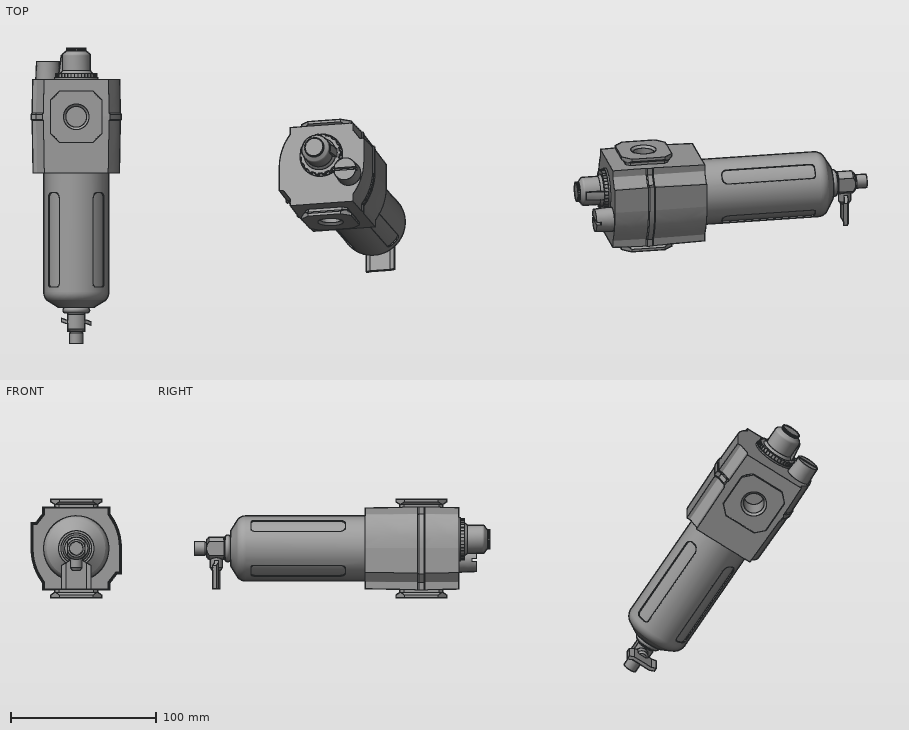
import cadquery as cq
import math


HOUSING_FRONT = 38.7
HOUSING_BACK = 25.8
DRAFT = 1.0
HALF_WIDTH = 30.5
HALF_HEIGHT = 28.55
TOP_HALF_WIDTH = 22.65
CORNER_Z = 23.4
SHOULDER_X = 27.5
SHOULDER_Z = 17.1
BAND_HEIGHT = 0.65
BAND_HALF_FLAT = 1.7
BAND_HALF_BASE = 2.5

FLANGE_TOP = 34.0
FLANGE_SIDE = 35.2
FLANGE_CORNER = 6.0
FLANGE_EDGE = 1.9
FLANGE_THICKNESS = 3.7
FLANGE_UNDERCUT = 2.7
NECK_CORNER = 2.9
PORT_RADIUS = 7.15
PORT_MOUTH_RADIUS = 8.8
PORT_CHAMFER = PORT_MOUTH_RADIUS - PORT_RADIUS
PORT_DEPTH = 20.0

BOWL_RADIUS = 22.5
BOWL_STRAIGHT_END = -120.9
BOWL_CONE_START = -126.3
BOWL_CONE_RADIUS = 20.2
BOWL_END = -131.3
BOWL_END_RADIUS = 12.2
BOWL_RECESS_RADIUS = 10.6
BOWL_RECESS_DEPTH = 1.0
WINDOW_COUNT = 4
WINDOW_BACK = -52.1
WINDOW_FRONT = -117.3
WINDOW_WIDTH = 10.7
WINDOW_DEPTH = 1.0
WINDOW_BACK_CORNER = 4.0
WINDOW_FRONT_CORNER = 2.5

COLLAR_RADIUS = 9.3
COLLAR_SIDE_RADIUS = 8.0
COLLAR_END = -135.1
COCK_RADIUS = 7.7
COCK_END = -147.8
COCK_CHAMFER = 1.6
FLAT_HALF_WIDTH = 6.0
WAIST_RADIUS = FLAT_HALF_WIDTH
WAIST_END = -136.0
STEM_RADIUS = 4.75
STEM_END = -156.2
GROOVE_RADIUS = 4.2
GROOVE_WIDTH = 1.1
SPINDLE_Y = -141.1
SPINDLE_RADIUS = 4.3
SPINDLE_END = -15.1
SPINDLE_CHAMFER = 1.3
SPINDLE_CHAMFER_HEIGHT = 2.0
WING_THICKNESS = 2.6
WING_HALF_SPAN = 10.3
WING_BEND_X = 7.0
WING_BEND = 1.3
WING_BOTTOM = -27.9
WING_SHOULDER = -11.8
WING_TOP = -8.2

CAP_Z = 6.3
CAP_BASE_RADIUS = 15.0
CAP_BASE_TOP = 27.0
RING_RADIUS = 14.4
RING_TOP = 29.8
RING_SLOTS = 18
RING_SLOT_ANGLE = 10.0
RING_SLOT_DEPTH = 0.8
DOME_RADIUS = 9.8
DOME_FLARE_RADIUS = 11.3
DOME_FOOT = 31.8
DOME_SHOULDER = 42.1
DOME_CONE_RADIUS = 9.2
DOME_CONE_START = 43.5
KNOB_RADIUS = 6.7
KNOB_BASE = 45.4
KNOB_TOP = 47.3
KNOB_SERRATIONS = 24
KNOB_SERRATION_ANGLE = 7.5
KNOB_SERRATION_DEPTH = 0.4
POINTER_WIDTH = 5.8
POINTER_TOP_RADIUS = 10.5
POINTER_FOOT_RADIUS = 12.2

PLUG_X = -19.6
PLUG_Z = -8.2
PLUG_TOP = 38.1
PLUG_TOP_RADIUS = 7.85
PLUG_FOOT_RADIUS = 8.35
PLUG_SLOT_WIDTH = 1.9
PLUG_SLOT_DEPTH = 3.1
PLUG_SLOT_Z = -8.05


def revolve_about_y(outline):
    return outline.close().revolve(360, (0, 0, 0), (0, 1, 0))


def housing_outline():
    """Housing cross-section in the parting plane; it repeats after half a turn about Y."""
    rise = CORNER_Z
    run = HALF_WIDTH - TOP_HALF_WIDTH
    side_radius = (run ** 2 + rise ** 2) / (2 * run)
    half_angle = math.atan2(rise, side_radius - run) / 2
    arc_x = HALF_WIDTH - side_radius * (1 - math.cos(half_angle))
    arc_z = side_radius * math.sin(half_angle)
    outline = cq.Workplane("XZ").moveTo(-TOP_HALF_WIDTH, HALF_HEIGHT)
    for turn in (1, -1):
        outline = (
            outline.lineTo(-turn * TOP_HALF_WIDTH, turn * CORNER_Z)
            .lineTo(-turn * SHOULDER_X, turn * SHOULDER_Z)
            .lineTo(-turn * HALF_WIDTH, turn * SHOULDER_Z)
            .lineTo(-turn * HALF_WIDTH, 0)
            .threePointArc((-turn * arc_x, -turn * arc_z), (-turn * TOP_HALF_WIDTH, -turn * CORNER_Z))
            .lineTo(-turn * TOP_HALF_WIDTH, -turn * HALF_HEIGHT)
        )
        if turn == 1:
            outline = outline.lineTo(TOP_HALF_WIDTH, -HALF_HEIGHT)
    return outline.close()


def parting_band():
    """Bevelled band on the side walls; the port faces stay flush."""
    bevel_angle = math.degrees(math.atan2(BAND_HEIGHT, BAND_HALF_BASE - BAND_HALF_FLAT))
    flat = housing_outline().offset2D(BAND_HEIGHT, "intersection").extrude(BAND_HALF_FLAT)
    bevel = (
        housing_outline().offset2D(BAND_HEIGHT, "intersection")
        .extrude(BAND_HALF_BASE - BAND_HALF_FLAT, taper=bevel_angle)
        .translate((0, -BAND_HALF_FLAT, 0))
    )
    half = flat.union(bevel)
    band = half.union(half.mirror("XZ"))
    half_limit = (
        cq.Workplane("XZ").rect(4 * HALF_WIDTH, 2 * HALF_HEIGHT).extrude(2 * BAND_HALF_BASE, taper=DRAFT)
    )
    return band.intersect(half_limit.union(half_limit.mirror("XZ")))


def port_flange():
    """Square flange with a sloping underside and cut corners, on a smaller neck."""
    underside = FLANGE_TOP - FLANGE_THICKNESS
    slope_height = FLANGE_THICKNESS - FLANGE_EDGE
    neck_side = FLANGE_SIDE - 2 * FLANGE_UNDERCUT
    rim = (
        cq.Workplane("XY").workplane(offset=FLANGE_TOP - FLANGE_EDGE)
        .rect(FLANGE_SIDE, FLANGE_SIDE).extrude(FLANGE_EDGE)
    )
    slope = (
        cq.Workplane("XY").workplane(offset=underside).rect(neck_side, neck_side)
        .workplane(offset=slope_height).rect(FLANGE_SIDE, FLANGE_SIDE).loft(ruled=True)
    )
    corner_cut = (
        cq.Workplane("XY").workplane(offset=underside).rect(FLANGE_SIDE, FLANGE_SIDE)
        .extrude(FLANGE_THICKNESS).edges("|Z").chamfer(FLANGE_CORNER)
    )
    neck = cq.Workplane("XY").rect(neck_side, neck_side).extrude(underside).edges("|Z").chamfer(NECK_CORNER)
    return rim.union(slope).intersect(corner_cut).union(neck)


def port_hole():
    bore = cq.Workplane("XY").workplane(offset=FLANGE_TOP).circle(PORT_RADIUS).extrude(-PORT_DEPTH)
    mouth = (
        cq.Workplane("XZ").moveTo(0, FLANGE_TOP).lineTo(PORT_MOUTH_RADIUS, FLANGE_TOP)
        .lineTo(PORT_RADIUS, FLANGE_TOP - PORT_CHAMFER).lineTo(0, FLANGE_TOP - PORT_CHAMFER)
        .close().revolve(360, (0, 0, 0), (0, 1, 0))
    )
    return bore.union(mouth)


def make_housing():
    front = housing_outline().extrude(HOUSING_FRONT, taper=DRAFT)
    back = housing_outline().extrude(HOUSING_BACK, taper=DRAFT).mirror("XZ")
    body = front.union(back).union(parting_band())
    for mirrored in (False, True):
        flange = port_flange()
        hole = port_hole()
        if mirrored:
            flange = flange.mirror("XY")
            hole = hole.mirror("XY")
        body = body.union(flange).cut(hole)
    return body


def bowl_window():
    """Cutter for one shallow round-cornered window on the +Z side of the bowl."""
    middle = (WINDOW_BACK + WINDOW_FRONT) / 2
    prism = (
        cq.Workplane("XY").center(0, middle).rect(WINDOW_WIDTH, WINDOW_BACK - WINDOW_FRONT)
        .extrude(2 * BOWL_RADIUS)
        .edges("|Z and >Y").fillet(WINDOW_BACK_CORNER)
        .edges("|Z and <Y").fillet(WINDOW_FRONT_CORNER)
    )
    core = cq.Workplane("XZ").circle(BOWL_RADIUS - WINDOW_DEPTH).extrude(-BOWL_END)
    return prism.cut(core)


def make_bowl():
    bowl = revolve_about_y(
        cq.Workplane("XY").moveTo(0, -HOUSING_FRONT).lineTo(BOWL_RADIUS, -HOUSING_FRONT)
        .lineTo(BOWL_RADIUS, BOWL_STRAIGHT_END)
        .tangentArcPoint((BOWL_CONE_RADIUS, BOWL_CONE_START), relative=False)
        .lineTo(BOWL_END_RADIUS, BOWL_END)
        .lineTo(BOWL_RECESS_RADIUS, BOWL_END)
        .lineTo(BOWL_RECESS_RADIUS, BOWL_END + BOWL_RECESS_DEPTH)
        .lineTo(0, BOWL_END + BOWL_RECESS_DEPTH)
    )
    pitch = 360 / WINDOW_COUNT
    for index in range(WINDOW_COUNT):
        bowl = bowl.cut(bowl_window().rotate((0, 0, 0), (0, 1, 0), (index + 0.5) * pitch))
    return bowl


def cock_body():
    collar_start = BOWL_END + BOWL_RECESS_DEPTH
    collar_middle = (BOWL_END + COLLAR_END) / 2
    body = revolve_about_y(
        cq.Workplane("XY").moveTo(0, collar_start)
        .lineTo(COLLAR_SIDE_RADIUS, collar_start)
        .lineTo(COLLAR_SIDE_RADIUS, BOWL_END)
        .threePointArc((COLLAR_RADIUS, collar_middle), (COLLAR_SIDE_RADIUS, COLLAR_END))
        .lineTo(WAIST_RADIUS, COLLAR_END)
        .lineTo(WAIST_RADIUS, WAIST_END)
        .lineTo(COCK_RADIUS, WAIST_END)
        .lineTo(COCK_RADIUS, COCK_END + COCK_CHAMFER)
        .lineTo(COCK_RADIUS - COCK_CHAMFER, COCK_END)
        .lineTo(GROOVE_RADIUS, COCK_END)
        .lineTo(GROOVE_RADIUS, COCK_END - GROOVE_WIDTH)
        .lineTo(STEM_RADIUS, COCK_END - GROOVE_WIDTH)
        .lineTo(STEM_RADIUS, STEM_END)
        .lineTo(0, STEM_END)
    )
    flat_depth = COCK_RADIUS - FLAT_HALF_WIDTH
    flat_length = WAIST_END - COCK_END
    for side in (-1, 1):
        flat_cut = cq.Workplane("XY").box(flat_depth, flat_length, 2 * COCK_RADIUS).translate(
            (side * (FLAT_HALF_WIDTH + flat_depth / 2), WAIST_END - flat_length / 2, 0)
        )
        body = body.cut(flat_cut)
    return body


def cock_handle():
    """Round spindle pointing down with a wing plate whose two ends bend opposite ways."""
    spindle = (
        cq.Workplane("XY").center(0, SPINDLE_Y).circle(SPINDLE_RADIUS).extrude(SPINDLE_END)
        .faces("<Z").chamfer(SPINDLE_CHAMFER_HEIGHT, SPINDLE_CHAMFER)
    )
    half_thickness = WING_THICKNESS / 2
    plate = (
        cq.Workplane("XY").center(0, SPINDLE_Y)
        .moveTo(-WING_HALF_SPAN, WING_BEND + half_thickness)
        .lineTo(-WING_BEND_X, half_thickness)
        .lineTo(WING_BEND_X, half_thickness)
        .lineTo(WING_HALF_SPAN, half_thickness - WING_BEND)
        .lineTo(WING_HALF_SPAN, -half_thickness - WING_BEND)
        .lineTo(WING_BEND_X, -half_thickness)
        .lineTo(-WING_BEND_X, -half_thickness)
        .lineTo(-WING_HALF_SPAN, WING_BEND - half_thickness)
        .close().extrude(WING_BOTTOM)
    )
    silhouette = (
        cq.Workplane("XZ").workplane(offset=-SPINDLE_Y)
        .moveTo(-WING_HALF_SPAN, WING_BOTTOM)
        .lineTo(-WING_HALF_SPAN, WING_SHOULDER)
        .lineTo(-SPINDLE_RADIUS, WING_TOP)
        .lineTo(SPINDLE_RADIUS, WING_TOP)
        .lineTo(WING_HALF_SPAN, WING_SHOULDER)
        .lineTo(WING_HALF_SPAN, WING_BOTTOM)
        .close().extrude(2 * WING_THICKNESS, both=True)
    )
    return spindle.union(plate.intersect(silhouette))


def make_drain_cock():
    return cock_body().union(cock_handle())


def notch_ring(radius, depth, bottom, top, count, angle):
    """Cutter for evenly spaced axial notches around a rim centred on the Y axis."""
    width = 2 * radius * math.sin(math.radians(angle / 2))
    notch = cq.Workplane("XY").box(2 * depth, top - bottom, width).translate((radius, (top + bottom) / 2, 0))
    pitch = 360 / count
    notches = [notch.rotate((0, 0, 0), (0, 1, 0), (index + 0.5) * pitch).val() for index in range(count)]
    return cq.Workplane(cq.Compound.makeCompound(notches))


def cap_pointer():
    """Flaring raised strip on the -X side of the dome."""
    cone = revolve_about_y(
        cq.Workplane("XY").moveTo(0, RING_TOP).lineTo(POINTER_FOOT_RADIUS, RING_TOP)
        .lineTo(POINTER_TOP_RADIUS, DOME_SHOULDER).lineTo(0, DOME_SHOULDER)
    )
    strip = cq.Workplane("XY").box(POINTER_FOOT_RADIUS, DOME_SHOULDER - RING_TOP, POINTER_WIDTH)
    return cone.intersect(strip.translate((-POINTER_FOOT_RADIUS / 2, (DOME_SHOULDER + RING_TOP) / 2, 0)))


def make_sight_cap():
    cap = revolve_about_y(
        cq.Workplane("XY").moveTo(0, HOUSING_BACK)
        .lineTo(CAP_BASE_RADIUS, HOUSING_BACK)
        .lineTo(CAP_BASE_RADIUS, CAP_BASE_TOP)
        .lineTo(RING_RADIUS, CAP_BASE_TOP)
        .lineTo(RING_RADIUS, RING_TOP)
        .lineTo(DOME_FLARE_RADIUS, RING_TOP)
        .lineTo(DOME_RADIUS, DOME_FOOT)
        .lineTo(DOME_RADIUS, DOME_SHOULDER)
        .tangentArcPoint((DOME_CONE_RADIUS, DOME_CONE_START), relative=False)
        .lineTo(KNOB_RADIUS, KNOB_BASE)
        .lineTo(KNOB_RADIUS, KNOB_TOP)
        .lineTo(0, KNOB_TOP)
    )
    cap = cap.union(cap_pointer())
    cap = cap.cut(
        notch_ring(RING_RADIUS, RING_SLOT_DEPTH, CAP_BASE_TOP, RING_TOP, RING_SLOTS, RING_SLOT_ANGLE)
    )
    cap = cap.cut(
        notch_ring(
            KNOB_RADIUS, KNOB_SERRATION_DEPTH, KNOB_BASE, KNOB_TOP, KNOB_SERRATIONS, KNOB_SERRATION_ANGLE
        )
    )
    return cap.translate((0, 0, CAP_Z))


def make_fill_plug():
    plug = revolve_about_y(
        cq.Workplane("XY").moveTo(0, HOUSING_BACK).lineTo(PLUG_FOOT_RADIUS, HOUSING_BACK)
        .lineTo(PLUG_TOP_RADIUS, PLUG_TOP).lineTo(0, PLUG_TOP)
    ).translate((PLUG_X, 0, PLUG_Z))
    slot = cq.Workplane("XY").box(4 * PLUG_TOP_RADIUS, 2 * PLUG_SLOT_DEPTH, PLUG_SLOT_WIDTH)
    return plug.cut(slot.translate((PLUG_X, PLUG_TOP, PLUG_SLOT_Z)))


housing = make_housing()
bowl = make_bowl()
drain_cock = make_drain_cock()
sight_cap = make_sight_cap()
fill_plug = make_fill_plug()

sight_cap = sight_cap.cut(fill_plug)

result = cq.Compound.makeCompound(
    [
        *housing.solids().vals(),
        *bowl.solids().vals(),
        *drain_cock.solids().vals(),
        *sight_cap.solids().vals(),
        *fill_plug.solids().vals(),
    ]
)